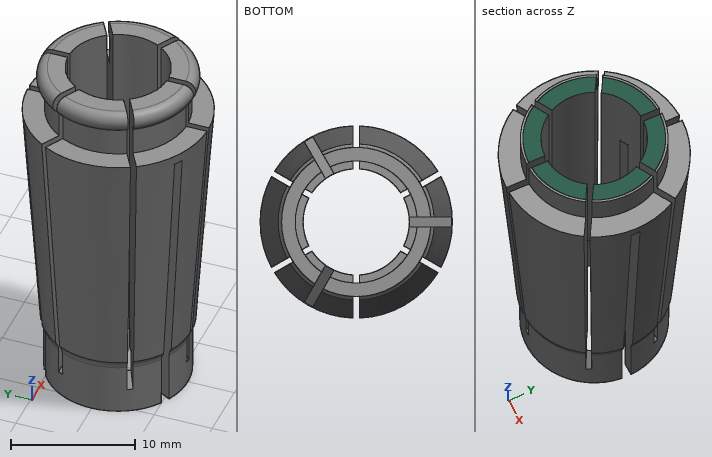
import cadquery as cq

total_height = 30.5
tail_height = 4.45
cone_bottom = 5.2
cone_top = 26.3
bead_bottom = 28.75

tail_radius = 6.0
neck_radius = 5.95
cone_small_radius = 6.28
cone_large_radius = 7.75
bead_radius = 6.6
bead_flat_radius = bead_radius - (total_height - bead_bottom) / 2

bore_radius = 4.27
relief_radius = 4.9
relief_height = 5.2

upper_slot_count = 6
upper_slot_width = 0.5
upper_slot_first_angle = 30.0
upper_slot_end = 2.2
lower_slot_count = 3
lower_slot_width = 0.8
lower_slot_first_angle = 0.0
lower_slot_end = 25.5
cut_clearance = 0.3


def make_body():
    """Revolve the outer profile of the collet and its stepped bore."""
    bead_middle = (bead_bottom + total_height) / 2
    return (
        cq.Workplane("XZ")
        .moveTo(relief_radius, 0)
        .lineTo(tail_radius, 0)
        .lineTo(tail_radius, tail_height)
        .tangentArcPoint((cone_small_radius, cone_bottom), relative=False)
        .lineTo(cone_large_radius, cone_top)
        .lineTo(neck_radius, cone_top)
        .lineTo(neck_radius, bead_bottom)
        .lineTo(bead_flat_radius, bead_bottom)
        .threePointArc((bead_radius, bead_middle), (bead_flat_radius, total_height))
        .lineTo(bore_radius, total_height)
        .lineTo(bore_radius, relief_height)
        .lineTo(relief_radius, relief_height)
        .close()
        .revolve(360, (0, 0), (0, 1))
    )


def slot_cutter(end_radius, end_height, open_height, width, angle):
    """Radial slot whose closed end slopes at 45 degrees, meeting end_radius at end_height."""
    slope = 1 if open_height > end_height else -1
    outer_radius = cone_large_radius + cut_clearance
    outer_height = end_height - slope * (outer_radius - end_radius)
    axis_height = end_height + slope * end_radius
    return (
        cq.Workplane("XZ")
        .polyline([
            (0, axis_height),
            (outer_radius, outer_height),
            (outer_radius, open_height),
            (0, open_height),
        ])
        .close()
        .extrude(width / 2, both=True)
        .rotate((0, 0, 0), (0, 0, 1), angle)
    )


result = make_body()

for i in range(upper_slot_count):
    slot_angle = upper_slot_first_angle + i * 360 / upper_slot_count
    result = result.cut(
        slot_cutter(tail_radius, upper_slot_end, total_height, upper_slot_width, slot_angle)
    )

for i in range(lower_slot_count):
    slot_angle = lower_slot_first_angle + i * 360 / lower_slot_count
    result = result.cut(
        slot_cutter(cone_large_radius, lower_slot_end, 0, lower_slot_width, slot_angle)
    )